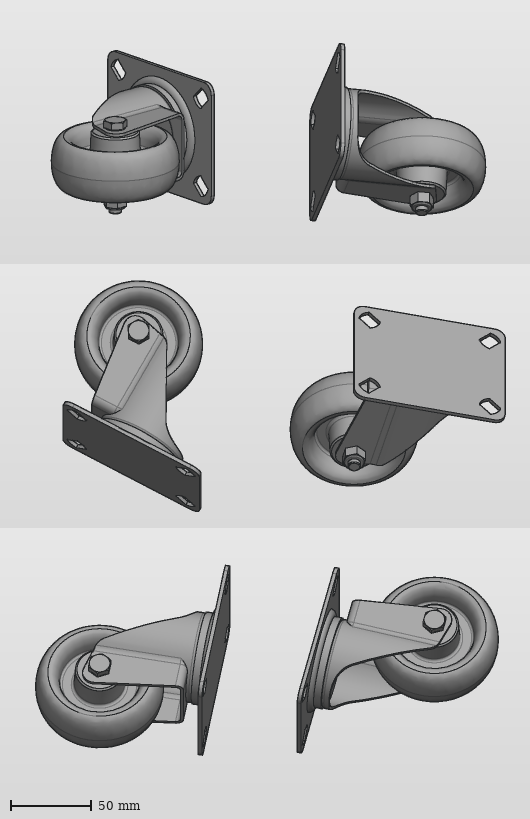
import cadquery as cq
import math


AXLE_X = 31.9
WHEEL_RADIUS = 40.0
TOTAL_DEPTH = 108.0
AXLE_Y = WHEEL_RADIUS - TOTAL_DEPTH

PLATE_LENGTH = 2 * (120.5 - WHEEL_RADIUS - AXLE_X)
PLATE_HEIGHT = 80.0
PLATE_THICKNESS = 2.5
PLATE_CORNER_RADIUS = 7.0
SLOT_X = 38.7
SLOT_Z = 28.8
SLOT_STRAIGHT = 10.1
SLOT_WIDTH = 9.2
SLOT_END_BULGE = 1.2
RACE_RADIUS = 33.4
COLLAR_RADIUS = 29.2
RACE_DEPTH = 5.7
RACE_ROUND = RACE_RADIUS - COLLAR_RADIUS
COLLAR_DEPTH = 10.4

SHEET = 1.9
CUP_RADIUS = 28.4
CUP_ROUND = 1.7
LEG_OUTER_Z = 21.9
LEG_INNER_Z = LEG_OUTER_Z - SHEET
LEG_FLAT_X = 20.2
SHELF_DEPTH = 14.0
LEG_BEND_RADIUS = 5.1
CUP_LIP_ROUND = 1.9
RIM_Y = -15.3
RIM_ARC_RADIUS = 20.5
FRONT_EDGE_ANGLE = 62.0
SHELF_END_X = 35.8
REAR_EDGE_SLOPE = 0.131
TOE_X = 14.5
BOTTOM_EDGE_SLOPE = 0.255
TOE_ROUND = 10.0
TIP_ROUND = 7.5

WHEEL_HALF_WIDTH = 16.5
LIP_RADIUS = 32.3
DISH_RADIUS = 24.8
WEB_Z = 2.7
WEB_ROUND = 1.6
HUB_FOOT_ROUND = 1.8
HUB_BASE_RADIUS = 15.9
HUB_RADIUS = 15.2
HUB_CHAMFER = 1.1

BOLT_RADIUS = 4.0
BOLT_END_Z = -33.4
BOLT_CHAMFER = 0.6
HEX_FLATS = 12.9
HEX_CORNERS = HEX_FLATS / math.cos(math.radians(30))
HEAD_WASHER_RADIUS = 6.0
HEAD_WASHER_HEIGHT = 0.6
HEAD_TOP_Z = 27.4
HEAD_CHAMFER_HEIGHT = 0.6
NUT_HEX_HEIGHT = 6.9
NUT_COLLAR_RADIUS = 6.3
NUT_COLLAR_HEIGHT = 1.3
NUT_COLLAR_ROUND = 0.6


def swivel_plane(depth):
    """Plane square to the swivel axis, facing -Y, at a depth below the mounting face."""
    return cq.Workplane("XZ").workplane(offset=depth)


def axle_plane(z):
    """Plane square to the axle, centred on it, at height z."""
    return cq.Workplane("XY", origin=(AXLE_X, AXLE_Y, z))


def make_plate():
    plate = swivel_plane(0).rect(PLATE_LENGTH, PLATE_HEIGHT).extrude(PLATE_THICKNESS)
    plate = plate.edges("|Y").fillet(PLATE_CORNER_RADIUS)
    race = swivel_plane(0).circle(RACE_RADIUS).extrude(RACE_DEPTH)
    race = race.faces("<Y").edges().fillet(RACE_ROUND)
    collar = swivel_plane(0).circle(COLLAR_RADIUS).extrude(COLLAR_DEPTH)
    plate = plate.union(race).union(collar)
    for side_x in (-1, 1):
        for side_z in (-1, 1):
            plate = plate.cut(slot_cutter(side_x, side_z))
    return plate


def slot_cutter(side_x, side_z):
    """Slot with bulged ends, its long axis at 45 degrees toward one plate corner."""
    half_length = SLOT_STRAIGHT / 2
    half_width = SLOT_WIDTH / 2
    tip = half_length + SLOT_END_BULGE
    slot = (
        swivel_plane(0)
        .center(side_x * SLOT_X, side_z * SLOT_Z)
        .transformed(rotate=(0, 0, 45 * side_x * side_z))
        .moveTo(-half_length, -half_width)
        .lineTo(half_length, -half_width)
        .threePointArc((tip, 0), (half_length, half_width))
        .lineTo(-half_length, half_width)
        .threePointArc((-tip, 0), (-half_length, -half_width))
        .close()
    )
    return slot.extrude(PLATE_THICKNESS)


def leg_block(inset):
    """Block behind the cup, its sides blended into the cup cylinder by tangent arcs.

    The inset moves every face inward from the outer skin of the fork.
    """
    cup_radius = CUP_RADIUS - inset
    half = LEG_OUTER_Z - inset
    outer_blend = (CUP_RADIUS**2 - LEG_FLAT_X**2 - LEG_OUTER_Z**2) / (2 * (LEG_OUTER_Z - CUP_RADIUS))
    blend = outer_blend + inset
    centre_z = half + blend
    reach = cup_radius + blend
    tangent = (LEG_FLAT_X * cup_radius / reach, centre_z * cup_radius / reach)
    mid_angle = (math.atan2(-centre_z, -LEG_FLAT_X) - math.pi / 2) / 2
    middle = (LEG_FLAT_X + blend * math.cos(mid_angle), centre_z + blend * math.sin(mid_angle))
    far_x = AXLE_X + WHEEL_RADIUS
    block = (
        swivel_plane(SHELF_DEPTH + inset)
        .moveTo(*tangent)
        .threePointArc(middle, (LEG_FLAT_X, half))
        .lineTo(far_x, half)
        .lineTo(far_x, -half)
        .lineTo(LEG_FLAT_X, -half)
        .threePointArc((middle[0], -middle[1]), (tangent[0], -tangent[1]))
        .close()
        .extrude(TOTAL_DEPTH)
    )
    return block.faces(">Y").edges("|X").fillet(LEG_BEND_RADIUS - inset)


def cup_cylinder(inset):
    """Round front of the fork, its seam turned to the -X side, away from the legs."""
    cup = swivel_plane(COLLAR_DEPTH + inset).circle(CUP_RADIUS - inset).extrude(TOTAL_DEPTH)
    return cup.rotate((0, 0, 0), (0, 1, 0), 180)


def fork_skin():
    """Outer surface of the fork, filled solid."""
    cup = cup_cylinder(0)
    cup = cup.faces(">Y").edges().fillet(CUP_ROUND)
    return cup.union(leg_block(0))


def fork_hollow():
    """Space enclosed by the sheet of the fork."""
    return cup_cylinder(SHEET).union(leg_block(SHEET))


def fork_side_profile():
    """Prism along Z with the side outline of the fork."""
    angle = math.radians(FRONT_EDGE_ANGLE)
    arc_end_x = -CUP_RADIUS + RIM_ARC_RADIUS * math.sin(angle)
    arc_end_y = RIM_Y - RIM_ARC_RADIUS * (1 - math.cos(angle))
    arc_mid_x = -CUP_RADIUS + RIM_ARC_RADIUS * math.sin(angle / 2)
    arc_mid_y = RIM_Y - RIM_ARC_RADIUS * (1 - math.cos(angle / 2))
    toe_y = arc_end_y - (TOE_X - arc_end_x) * math.tan(angle)
    tip_x = (SHELF_END_X - REAR_EDGE_SLOPE * (SHELF_DEPTH + toe_y + BOTTOM_EDGE_SLOPE * TOE_X)) / (
        1 - REAR_EDGE_SLOPE * BOTTOM_EDGE_SLOPE
    )
    tip_y = toe_y - BOTTOM_EDGE_SLOPE * (tip_x - TOE_X)
    top_x = SHELF_END_X - REAR_EDGE_SLOPE * SHELF_DEPTH
    prism = (
        cq.Workplane("XY")
        .moveTo(-CUP_RADIUS, 0)
        .lineTo(-CUP_RADIUS, RIM_Y)
        .threePointArc((arc_mid_x, arc_mid_y), (arc_end_x, arc_end_y))
        .lineTo(TOE_X, toe_y)
        .lineTo(tip_x, tip_y)
        .lineTo(top_x, 0)
        .close()
        .extrude(CUP_RADIUS, both=True)
    )
    prism = prism.edges(cq.NearestToPointSelector((TOE_X, toe_y, 0))).fillet(TOE_ROUND)
    return prism.edges(cq.NearestToPointSelector((tip_x, tip_y, 0))).fillet(TIP_ROUND)


def make_fork():
    shell = fork_skin().cut(fork_hollow())
    cup_lip = ((LEG_FLAT_X + CUP_RADIUS - SHEET) / 2, -SHELF_DEPTH - SHEET, 0)
    shell = shell.edges(cq.NearestToPointSelector(cup_lip)).fillet(CUP_LIP_ROUND)
    fork = shell.intersect(fork_side_profile())
    return fork.cut(axle_plane(-CUP_RADIUS).circle(BOLT_RADIUS).extrude(2 * CUP_RADIUS))


def make_wheel():
    """Wheel revolved about the axle from the upper half of its section, then mirrored.

    The rim section is two quarter ellipses that meet at the lip.
    """
    dish_foot_z = WEB_Z + WEB_ROUND
    half = (
        cq.Workplane("XZ")
        .moveTo(BOLT_RADIUS, 0)
        .lineTo(WHEEL_RADIUS, 0)
        .ellipseArc(WHEEL_RADIUS - LIP_RADIUS, WHEEL_HALF_WIDTH, 0, 90)
        .ellipseArc(LIP_RADIUS - DISH_RADIUS, WHEEL_HALF_WIDTH - dish_foot_z, 90, 180)
        .radiusArc((DISH_RADIUS - WEB_ROUND, WEB_Z), WEB_ROUND)
        .lineTo(HUB_BASE_RADIUS + HUB_FOOT_ROUND, WEB_Z)
        .radiusArc((HUB_BASE_RADIUS, WEB_Z + HUB_FOOT_ROUND), HUB_FOOT_ROUND)
        .lineTo(HUB_RADIUS, LEG_INNER_Z - HUB_CHAMFER)
        .lineTo(HUB_RADIUS - HUB_CHAMFER, LEG_INNER_Z)
        .lineTo(BOLT_RADIUS, LEG_INNER_Z)
        .close()
        .revolve(360, (0, 0, 0), (0, 1, 0))
    )
    return half.union(half.mirror("XY")).translate((AXLE_X, AXLE_Y, 0))


def make_bolt():
    bolt = axle_plane(BOLT_END_Z).circle(BOLT_RADIUS).extrude(LEG_OUTER_Z - BOLT_END_Z)
    bolt = bolt.faces("<Z").edges().chamfer(BOLT_CHAMFER)
    washer_face = axle_plane(LEG_OUTER_Z).circle(HEAD_WASHER_RADIUS).extrude(HEAD_WASHER_HEIGHT)
    head_z = LEG_OUTER_Z + HEAD_WASHER_HEIGHT
    head = axle_plane(head_z).polygon(6, HEX_CORNERS).extrude(HEAD_TOP_Z - head_z)
    envelope = axle_plane(head_z).circle(HEX_CORNERS / 2).extrude(HEAD_TOP_Z - head_z)
    corner_excess = (HEX_CORNERS - HEX_FLATS) / 2
    envelope = envelope.faces(">Z").chamfer(HEAD_CHAMFER_HEIGHT, corner_excess)
    return bolt.union(washer_face).union(head.intersect(envelope))


def make_nut():
    nut = axle_plane(-LEG_OUTER_Z - NUT_HEX_HEIGHT).transformed(rotate=(0, 0, 90))
    nut = nut.polygon(6, HEX_CORNERS).extrude(NUT_HEX_HEIGHT)
    total_height = NUT_HEX_HEIGHT + NUT_COLLAR_HEIGHT
    collar = axle_plane(-LEG_OUTER_Z - total_height).circle(NUT_COLLAR_RADIUS).extrude(total_height)
    collar = collar.faces("<Z").edges().fillet(NUT_COLLAR_ROUND)
    hole = axle_plane(-LEG_OUTER_Z - total_height).circle(BOLT_RADIUS).extrude(total_height)
    return nut.union(collar).cut(hole)


plate = make_plate()
fork = make_fork()
wheel = make_wheel()
bolt = make_bolt()
nut = make_nut()

result = cq.Compound.makeCompound([plate.val(), fork.val(), wheel.val(), bolt.val(), nut.val()])